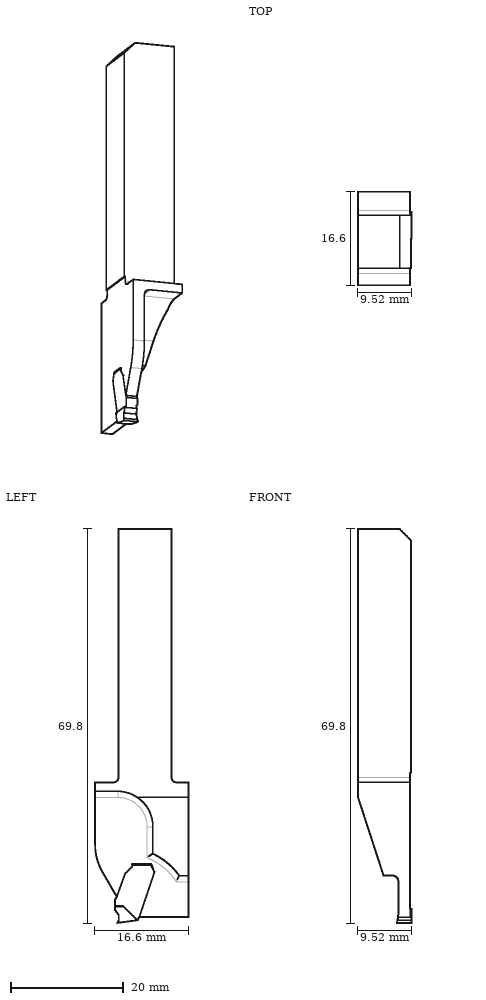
import cadquery as cq
import math


shank_size = 9.43
shank_half = shank_size / 2
overall_length = 69.85
end_chamfer = 2.05

head_width = 16.6
head_y_max = 8.86
head_y_min = head_y_max - head_width
shoulder_z = 24.95
shoulder_fillet = 0.85
head_bottom_z = 1.05
side_relief = 0.17
relief_top_z = 26.6
head_x_max = shank_size - side_relief
corner_radius = 9.5
corner_start_z = 13.85
flank_angle = math.radians(30)

taper_start_z = 22.25
taper_end_x = 4.52
taper_end_z = 8.4
blade_thickness = 2.11
blade_face_x = head_x_max - blade_thickness

pocket_fillet = 1.05
pocket_top_z = 23.35
pocket_arc_radius = 6.25
pocket_wall_y = -1.4
pocket_corner_z = 12.3
pocket_curve_mid = (-4.05, 10.6)
pocket_step_y = -6.08
pocket_step_z = taper_end_z

cut_margin = 5
pick_tolerance = 0.1

tip_overhang = 0.26
insert_x_max = head_x_max + tip_overhang
tip_top_z = 2.5
rake_top_z = 3.05
rake_corner_y = 3.96
rake_depth = 0.2
rake_wall_drop = 0.2
tip_point = (4.9, 0.0)
tip_heel = (1.3, 0.48)
insert_end_z = 10.27
seat_end_z = 10.47


def insert_outline(end_z):
    """YZ outline shared by the insert and its seat, closed by a flat end at end_z."""
    return [
        tip_point,
        tip_heel,
        (1.01, head_bottom_z),
        (-1.68, 9.0),
        (-1.09, end_z),
        (2.27, end_z),
        (2.27, 10.0),
        (3.53, 8.73),
        (5.01, 4.6),
        (5.32, 4.15),
        (5.32, 2.3),
        (4.69, 1.45),
        (4.69, 0.46),
    ]


def side_plane(x):
    """YZ sketch plane at the given X."""
    return cq.Workplane("YZ", origin=(x, 0, 0))


def make_shank():
    """Square bar with its +X top edge chamfered."""
    profile = [
        (0, shoulder_z),
        (shank_size, shoulder_z),
        (shank_size, overall_length - end_chamfer),
        (shank_size - end_chamfer, overall_length),
        (0, overall_length),
    ]
    return cq.Workplane("XZ").polyline(profile).close().extrude(shank_half, both=True)


def make_head():
    """Wide head block whose +Y side curves into a sloping flank."""
    arc_end_y = head_y_max - corner_radius * (1 - math.cos(flank_angle))
    arc_end_z = corner_start_z - corner_radius * math.sin(flank_angle)
    arc_mid_y = head_y_max - corner_radius * (1 - math.cos(flank_angle / 2))
    arc_mid_z = corner_start_z - corner_radius * math.sin(flank_angle / 2)
    flank_end_y = arc_end_y - (arc_end_z - head_bottom_z) * math.tan(flank_angle)
    return (
        side_plane(0)
        .moveTo(head_y_min, head_bottom_z)
        .lineTo(head_y_min, shoulder_z)
        .lineTo(head_y_max, shoulder_z)
        .lineTo(head_y_max, corner_start_z)
        .threePointArc((arc_mid_y, arc_mid_z), (arc_end_y, arc_end_z))
        .lineTo(flank_end_y, head_bottom_z)
        .close()
        .extrude(shank_size)
    )


def make_pocket():
    """Clearance on the -X side, rounded where its wall meets the blade face."""
    arc_center_y = pocket_wall_y + pocket_arc_radius
    arc_center_z = pocket_top_z - pocket_arc_radius
    arc_reach = pocket_arc_radius * math.sqrt(0.5)
    pocket = (
        side_plane(0)
        .moveTo(head_y_max + cut_margin, pocket_top_z)
        .lineTo(arc_center_y, pocket_top_z)
        .threePointArc(
            (arc_center_y - arc_reach, arc_center_z + arc_reach),
            (pocket_wall_y, arc_center_z),
        )
        .lineTo(pocket_wall_y, pocket_corner_z)
        .threePointArc(pocket_curve_mid, (pocket_step_y, pocket_step_z))
        .lineTo(head_y_min - cut_margin, pocket_step_z)
        .lineTo(head_y_min - cut_margin, head_bottom_z - cut_margin)
        .lineTo(head_y_max + cut_margin, head_bottom_z - cut_margin)
        .close()
        .extrude(blade_face_x)
    )
    wall_foot = cq.selectors.BoxSelector(
        (blade_face_x - pick_tolerance, head_y_min - cut_margin / 2, head_bottom_z),
        (blade_face_x + pick_tolerance, head_y_max + cut_margin / 2, pocket_top_z + pick_tolerance),
    )
    return pocket.edges(wall_foot).fillet(pocket_fillet)


def make_taper_cut():
    """Wedge off the -X side, from the flat of the shank down to the pocket's lower step."""
    return (
        cq.Workplane("XZ")
        .polyline([(0, taper_start_z), (taper_end_x, taper_end_z), (0, taper_end_z)])
        .close()
        .extrude(head_width, both=True)
    )


def make_side_relief():
    """Shallow set-back of the head's +X face."""
    return cq.Workplane("XY", origin=(head_x_max, 0, 0)).box(
        shank_size, 2 * head_width, relief_top_z, centered=(False, True, False)
    )


def make_holder():
    holder = make_shank().union(make_head())
    for side in (-1, 1):
        inner_corner = cq.selectors.NearestToPointSelector((shank_half, side * shank_half, shoulder_z))
        holder = holder.edges("|X").edges(inner_corner).fillet(shoulder_fillet)
    insert_seat = side_plane(blade_face_x).polyline(insert_outline(seat_end_z)).close().extrude(shank_size)
    return (
        holder.cut(make_side_relief())
        .cut(make_taper_cut())
        .cut(make_pocket())
        .cut(insert_seat)
    )


def make_insert():
    """Insert blank as thick as the blade, with a wider cutting tip and a sloping rake face."""
    tip_face_x = blade_face_x - tip_overhang
    blank = (
        side_plane(tip_face_x)
        .polyline(insert_outline(insert_end_z))
        .close()
        .extrude(insert_x_max - tip_face_x)
    )

    back_trim = cq.Workplane("XY", origin=(head_x_max, 0, tip_top_z)).box(
        shank_size, 2 * head_width, overall_length, centered=(False, True, False)
    )

    rake_area = [
        (rake_corner_y, rake_top_z),
        tip_heel,
        (tip_heel[0], -rake_top_z),
        (head_y_max, -rake_top_z),
        (head_y_max, rake_top_z),
    ]
    rake_region = side_plane(0).polyline(rake_area).close().extrude(shank_size)
    rake_cut = (
        cq.Workplane("XZ")
        .polyline([
            (0, 0),
            (tip_face_x, 0),
            (blade_face_x + rake_depth, rake_top_z - rake_wall_drop),
            (blade_face_x, rake_top_z),
            (0, rake_top_z),
        ])
        .close()
        .extrude(head_width, both=True)
        .intersect(rake_region)
    )
    face_trim = (
        side_plane(0)
        .rect(2 * head_width, 2 * overall_length)
        .extrude(blade_face_x)
        .cut(rake_region)
    )
    return blank.cut(back_trim).cut(face_trim).cut(rake_cut)


holder = make_holder()
insert = make_insert()

result = cq.Compound.makeCompound([*holder.solids().vals(), *insert.solids().vals()])